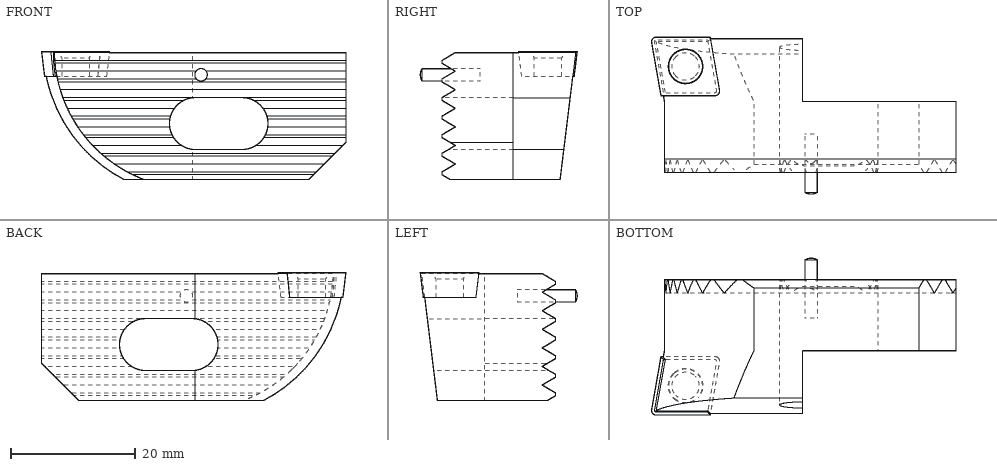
import cadquery as cq
import math


LENGTH_END = 49.1
HOLDER_TOP = 20.47
TAIL_BACK = 11.5
HEAD_BACK = 21.6
HEAD_END = 24.35
CORNER_CHAMFER = 6.0
RELIEF_ANGLE = 7.0

NOSE_X = 24.5
NOSE_Z = 20.95
NOSE_RADIUS = 22.45
NOSE_FLARE_ANGLE = 10.0

TOOTH_PITCH = 3.0
TOOTH_DEPTH = 2.15
TOOTH_TIP = 0.45
TOOTH_COUNT = 7

SLOT_X = 28.6
SLOT_Z = 9.05
SLOT_LENGTH = 15.85
SLOT_HEIGHT = 8.35

PIN_X = 25.75
PIN_Z = 16.9
PIN_DIAMETER = 2.0
PIN_END = -3.5
PIN_DOME = 0.3
PIN_SEAT_DEPTH = 2 * PIN_DIAMETER

INSERT_TOP = 20.6
INSERT_THICKNESS = 4.0
INSERT_BACK = 21.85
INSERT_WIDTH = 9.5
INSERT_ANGLE = 80.0
INSERT_CORNER_RADIUS = 0.8

HOLE_MOUTH_DIAMETER = 5.6
HOLE_DIAMETER = 4.4
COUNTERSINK_ANGLE = 60.0


def tan(degrees):
    return math.tan(math.radians(degrees))


INSERT_SIDE = INSERT_WIDTH / math.sin(math.radians(INSERT_ANGLE))
INSERT_LEAN = INSERT_WIDTH / tan(INSERT_ANGLE)
INSERT_BOTTOM = INSERT_TOP - INSERT_THICKNESS
INSERT_CORNER_X = INSERT_CORNER_RADIUS * (1 - 1 / tan(INSERT_ANGLE / 2))
INSERT_CENTER_X = INSERT_CORNER_X + (INSERT_SIDE + INSERT_LEAN) / 2
INSERT_CENTER_Y = INSERT_BACK - INSERT_WIDTH / 2


def prism_along_y(sketch, y_from, y_to):
    """Extrude a sketch drawn on the XZ plane from one Y to another."""
    return sketch.extrude(y_from - y_to).translate((0, y_from, 0))


def block():
    """Tail and head, with the rear of the head leaning forward towards the underside."""
    tail = cq.Workplane("XY").box(LENGTH_END, TAIL_BACK, HOLDER_TOP, centered=False)
    head_foot = HEAD_BACK - HOLDER_TOP * tan(RELIEF_ANGLE)
    head = (
        cq.Workplane("YZ")
        .polyline([(0, 0), (head_foot, 0), (HEAD_BACK, HOLDER_TOP), (0, HOLDER_TOP)])
        .close()
        .extrude(HEAD_END)
    )
    corner = cq.Workplane("XZ").polyline([
        (LENGTH_END, 0),
        (LENGTH_END, CORNER_CHAMFER),
        (LENGTH_END - CORNER_CHAMFER, 0),
    ]).close()
    return tail.union(head).cut(prism_along_y(corner, 0, TAIL_BACK))


def nose_envelope():
    """Space inside the curved front end, plus everything to the right of its axis."""
    flared_radius = NOSE_RADIUS + (HEAD_BACK - TAIL_BACK) * tan(NOSE_FLARE_ANGLE)
    round_end = (
        cq.Workplane("XY")
        .polyline([
            (0, 0), (NOSE_RADIUS, 0), (NOSE_RADIUS, TAIL_BACK), (flared_radius, HEAD_BACK), (0, HEAD_BACK),
        ])
        .close()
        .revolve(360, (0, 0, 0), (0, 1, 0))
        .translate((NOSE_X, 0, NOSE_Z))
    )
    rest = cq.Workplane("XY").box(LENGTH_END, HEAD_BACK, HOLDER_TOP, centered=False)
    return round_end.union(rest.translate((NOSE_X, 0, 0)))


def serration_grooves():
    """V grooves between the teeth; the outer two open through the top and the underside."""
    half_mouth = (TOOTH_PITCH - TOOTH_TIP) / 2
    groove = (
        cq.Workplane("YZ")
        .polyline([(0, -half_mouth), (TOOTH_DEPTH, 0), (0, half_mouth)])
        .close()
        .extrude(LENGTH_END)
    )
    grooves = cq.Workplane("XY")
    for index in range(TOOTH_COUNT + 1):
        grooves = grooves.add(groove.translate((0, 0, HOLDER_TOP - index * TOOTH_PITCH)))
    return grooves.combine()


def clamping_slot():
    slot = cq.Workplane("XZ").center(SLOT_X, SLOT_Z).slot2D(SLOT_LENGTH, SLOT_HEIGHT)
    return prism_along_y(slot, 0, HEAD_BACK)


def make_pin():
    """Pin with a flat inner end and a domed outer end."""
    radius = PIN_DIAMETER / 2
    inner_end = TOOTH_DEPTH + PIN_SEAT_DEPTH
    dome_radius = (radius**2 + PIN_DOME**2) / (2 * PIN_DOME)
    return (
        cq.Workplane("XY")
        .moveTo(0, inner_end)
        .lineTo(radius, inner_end)
        .lineTo(radius, PIN_END + PIN_DOME)
        .radiusArc((0, PIN_END), dome_radius)
        .close()
        .revolve(360, (0, 0, 0), (0, 1, 0))
        .translate((PIN_X, 0, PIN_Z))
    )


def insert_blank():
    """Solid rhombic plate, tapering downwards, with rounded cutting corners."""
    front = INSERT_BACK - INSERT_WIDTH
    rear_left = (INSERT_CORNER_X, INSERT_BACK)
    rear_right = (INSERT_CORNER_X + INSERT_SIDE, INSERT_BACK)
    front_right = (INSERT_CORNER_X + INSERT_SIDE + INSERT_LEAN, front)
    front_left = (INSERT_CORNER_X + INSERT_LEAN, front)
    outline = (
        cq.Sketch()
        .polygon([rear_left, rear_right, front_right, front_left, rear_left])
        .vertices("<X or >X")
        .fillet(INSERT_CORNER_RADIUS)
    )
    return (
        cq.Workplane("XY", origin=(0, 0, INSERT_TOP))
        .placeSketch(outline)
        .extrude(-INSERT_THICKNESS, taper=RELIEF_ANGLE)
    )


def insert_hole():
    """Space of the countersunk hole through the insert."""
    mouth_radius = HOLE_MOUTH_DIAMETER / 2
    radius = HOLE_DIAMETER / 2
    countersink_depth = (mouth_radius - radius) / tan(COUNTERSINK_ANGLE / 2)
    return (
        cq.Workplane("XZ")
        .polyline([
            (0, INSERT_TOP),
            (mouth_radius, INSERT_TOP),
            (radius, INSERT_TOP - countersink_depth),
            (radius, INSERT_BOTTOM),
            (0, INSERT_BOTTOM),
        ])
        .close()
        .revolve(360, (0, 0, 0), (0, 1, 0))
        .translate((INSERT_CENTER_X, INSERT_CENTER_Y, 0))
    )


def make_insert():
    return insert_blank().cut(insert_hole())


def make_holder(insert, pin):
    """Holder with a pocket for the insert, whose hole stays filled up to the holder top, and a pin hole."""
    body = block().intersect(nose_envelope())
    body = body.cut(serration_grooves()).cut(clamping_slot())
    return body.cut(insert).cut(pin)


insert = make_insert()
pin = make_pin()
holder = make_holder(insert, pin)

result = cq.Compound.makeCompound([holder.val(), insert.val(), pin.val()])